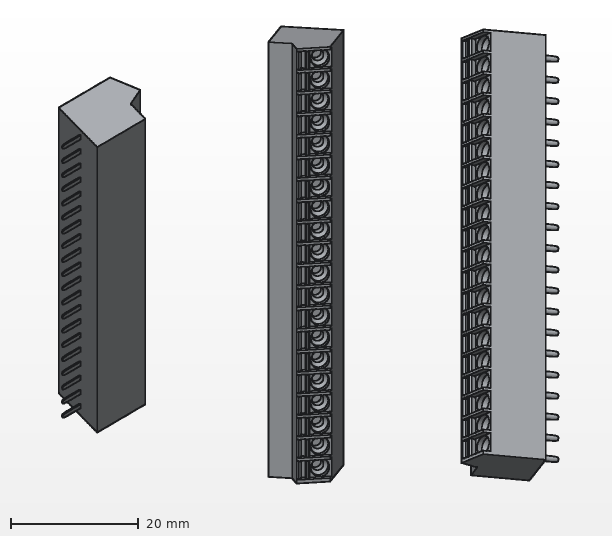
import cadquery as cq
import math

WIDTH = 10.0
LENGTH = 70.6
SHOULDER_Y = 9.45
APEX_X = 4.9
APEX_Y = 12.35
SLOPE_ANGLE = 24.8

POLES = 20
POLE_SPAN = 66.5
PITCH = POLE_SPAN / (POLES - 1)
TOP_ENTRY_INSET = 2.0
TOP_PIN_INSET = 1.8

OPENING_START = 0.35
OPENING_HEIGHT = 3.05
OPENING_DEPTH = 1.05
OVERCUT = 2.1

BUTTON_HEIGHT = 2.8
BUTTON_END = 2.2
BUTTON_BEVEL = 0.32
SLOT_LEAD_RUN = 0.4
SLOT_LEAD_DEPTH = 0.205
SLOT_WIDTH = 0.8
SLOT_DEPTH = 0.7

MOUTH_DIAMETER = 3.0
MOUTH_DEPTH = 1.0
BORE_DIAMETER = 1.85
FUNNEL_HALF_ANGLE = 37.0
WIRE_HOLE_DEPTH = 3.5

PIN_LENGTH = 3.5
PIN_FLAT_X = 5.7
PIN_THICKNESS = 0.4
PIN_HALF_HEIGHT = 0.51
PIN_SECTIONS = [(PIN_LENGTH, 1.0), (1.3, 1.0), (0.3, 0.84), (0.0, 0.4)]

SLOPE = math.radians(SLOPE_ANGLE)
SLOPE_LENGTH = APEX_X / math.cos(SLOPE)
FLOOR_END = SLOPE_LENGTH + OPENING_DEPTH * math.tan(SLOPE)


def slope_point(along, depth):
    """XY point at a distance down the sloped face from its apex and a depth below that face."""
    x = APEX_X - along * math.cos(SLOPE) + depth * math.sin(SLOPE)
    y = APEX_Y - along * math.sin(SLOPE) - depth * math.cos(SLOPE)
    return (x, y)


def prism(points, z_center, height):
    """Prism along Z with the given XY outline."""
    base = cq.Workplane("XY").workplane(offset=z_center - height / 2)
    return base.polyline(points).close().extrude(height)


def slope_prism(points, z_center, height):
    """Prism along Z whose outline is given as (along, depth) on the sloped face."""
    return prism([slope_point(*point) for point in points], z_center, height)


def housing():
    side_y = APEX_Y - APEX_X * math.tan(SLOPE)
    valley_x = APEX_X + (APEX_Y - SHOULDER_Y) * math.tan(SLOPE)
    outline = [
        (0, 0),
        (WIDTH, 0),
        (WIDTH, SHOULDER_Y),
        (valley_x, SHOULDER_Y),
        (APEX_X, APEX_Y),
        (0, side_y),
    ]
    return prism(outline, LENGTH / 2, LENGTH)


def opening(z):
    outline = [
        (OPENING_START, -OVERCUT),
        (OPENING_START, OPENING_DEPTH),
        (FLOOR_END + OVERCUT, OPENING_DEPTH),
        (FLOOR_END + OVERCUT, -OVERCUT),
    ]
    return slope_prism(outline, z, OPENING_HEIGHT)


def button(z):
    """Button with a tool slot across it and a bevel on its lower edge."""
    slot_start = OPENING_START + SLOT_LEAD_RUN
    slot_end = slot_start + SLOT_WIDTH
    outline = [
        (OPENING_START, OPENING_DEPTH),
        (OPENING_START, 0),
        (slot_start, SLOT_LEAD_DEPTH),
        (slot_start, SLOT_DEPTH),
        (slot_end, SLOT_DEPTH),
        (slot_end, 0),
        (BUTTON_END - BUTTON_BEVEL, 0),
        (BUTTON_END, BUTTON_BEVEL),
        (BUTTON_END, OPENING_DEPTH),
    ]
    return slope_prism(outline, z, BUTTON_HEIGHT)


def wire_hole(z):
    """Stepped round hole square to the sloped face, centred on the open floor."""
    mouth_radius = MOUTH_DIAMETER / 2
    bore_radius = BORE_DIAMETER / 2
    funnel_end = MOUTH_DEPTH + (mouth_radius - bore_radius) / math.tan(math.radians(FUNNEL_HALF_ANGLE))
    x, y = slope_point((BUTTON_END + FLOOR_END) / 2, OPENING_DEPTH)
    inward = cq.Vector(math.sin(SLOPE), -math.cos(SLOPE), 0)
    across = cq.Vector(0, 0, 1)
    axial = cq.Plane(origin=(x, y, z), xDir=across, normal=across.cross(inward))
    half_profile = [
        (0, 0),
        (mouth_radius, 0),
        (mouth_radius, MOUTH_DEPTH),
        (bore_radius, funnel_end),
        (bore_radius, WIRE_HOLE_DEPTH),
        (0, WIRE_HOLE_DEPTH),
    ]
    return cq.Workplane(axial).polyline(half_profile).close().revolve(360, (0, 0), (0, 1))


def pin(z):
    """Loft along -Y through half-oval sections that bulge toward -X."""
    sections = cq.Workplane("XZ", origin=(PIN_FLAT_X, 0, z))
    reached = 0
    for from_tip, scale in PIN_SECTIONS:
        distance = PIN_LENGTH - from_tip
        sections = sections.workplane(offset=distance - reached)
        top = (0, scale * PIN_HALF_HEIGHT)
        bulge = (-scale * PIN_THICKNESS, 0)
        bottom = (0, -scale * PIN_HALF_HEIGHT)
        sections = sections.moveTo(*top).threePointArc(bulge, bottom).close()
        reached = distance
    return sections.loft()


result = housing()
for index in range(POLES):
    entry_z = LENGTH - TOP_ENTRY_INSET - index * PITCH
    pin_z = LENGTH - TOP_PIN_INSET - index * PITCH
    result = result.cut(opening(entry_z).cut(button(entry_z)))
    result = result.cut(wire_hole(entry_z))
    result = result.union(pin(pin_z))